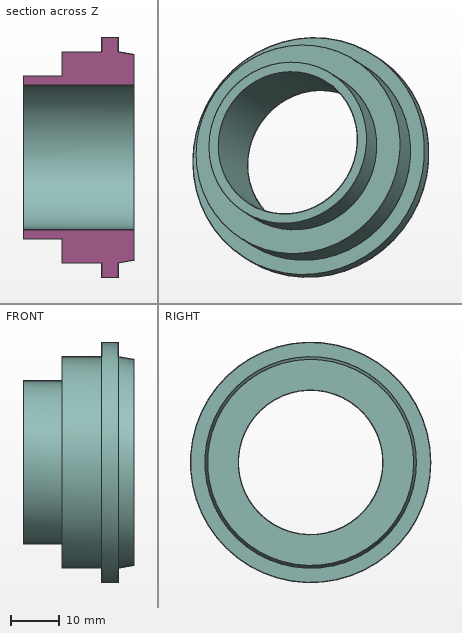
import cadquery as cq
import math

flange_diameter = 50.0
body_diameter = 44.0
neck_diameter = 34.0
bore_diameter = 30.0

neck_length = 8.0
body_length = 8.25
flange_thickness = 3.5
taper_length = 3.25
taper_angle = 10.0

body_start = neck_length
flange_start = body_start + body_length
taper_start = flange_start + flange_thickness
total_length = taper_start + taper_length

taper_end_radius = body_diameter / 2 - taper_length * math.tan(math.radians(taper_angle))

half_section = (
    cq.Workplane("XY")
    .moveTo(0, bore_diameter / 2)
    .lineTo(0, neck_diameter / 2)
    .lineTo(body_start, neck_diameter / 2)
    .lineTo(body_start, body_diameter / 2)
    .lineTo(flange_start, body_diameter / 2)
    .lineTo(flange_start, flange_diameter / 2)
    .lineTo(taper_start, flange_diameter / 2)
    .lineTo(taper_start, body_diameter / 2)
    .lineTo(total_length, taper_end_radius)
    .lineTo(total_length, bore_diameter / 2)
    .close()
)

result = half_section.revolve(360, (0, 0, 0), (1, 0, 0))